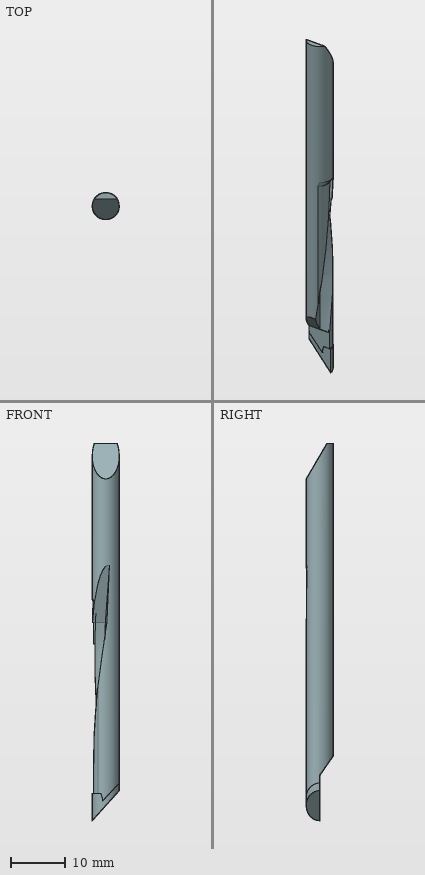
import cadquery as cq
import math

length = 69.5
radius = 2.5
top_flat_edge = 1.3
top_slant_bottom = 63.0
margin = 0.7

rear_end_inner = 8.35
rear_end_outer = 11.95

flute_top = 36.5
flute_bottom = 6.95
flute_front_angle = 276
flute_opening = 84
flute_twist = 101
flute_reach = 2 * radius
flute_apex_offset = 0.15
runout_top = 47.95
runout_shift_x = 0.8

rear_step_bottom = 39.9
rear_step_top = 40.7
rear_relief_shift = (0.5, 0.35)
rear_relief_edge = -0.9
rear_relief_edge_bottom = 32.65
front_relief_shift = (0.2, -0.17)

tip_cut_rise = 5.55
tip_thickness = 1.4
tip_shoulder_x = -0.6
tip_shoulder_bottom = 3.6
tip_shoulder_top = 4.2
tip_corner_x = -0.9
tip_top = 5.0


def prism_xz(points):
    return cq.Workplane("XZ").polyline(points).close().extrude(2 * radius, both=True)


def prism_yz(points):
    return cq.Workplane("YZ").polyline(points).close().extrude(2 * radius, both=True)


def cylinder(bottom, top, shift=(0, 0)):
    return cq.Workplane("XY", origin=(*shift, bottom)).circle(radius).extrude(top - bottom)


def rod_blank():
    """Round rod with the slanted top, sloped rear end and sloped tip."""
    slope = (length - top_slant_bottom) / (top_flat_edge + radius)
    top_cut = prism_yz([
        (top_flat_edge, length),
        (-radius - margin, top_slant_bottom - slope * margin),
        (-radius - margin, length),
    ])
    rear_slope = (rear_end_outer - rear_end_inner) / radius
    rear_cut = prism_yz([
        (0, -margin),
        (0, rear_end_inner),
        (radius + margin, rear_end_outer + rear_slope * margin),
        (radius + margin, -margin),
    ])
    tip_slope = tip_cut_rise / (2 * radius)
    bottom_cut = prism_xz([
        (-radius, 0),
        (radius + margin, tip_cut_rise + tip_slope * margin),
        (radius + margin, -margin),
        (-radius, -margin),
    ])
    return cylinder(0, length).cut(top_cut).cut(rear_cut).cut(bottom_cut)


def flute_triangle(front_angle):
    """Triangle from beside the axis out past the rod, ending its front side at front_angle."""
    bisector = math.radians(front_angle - flute_opening / 2)
    apex = (flute_apex_offset * math.cos(bisector), flute_apex_offset * math.sin(bisector))
    angles = [math.radians(front_angle), math.radians(front_angle - flute_opening)]
    return [apex] + [(flute_reach * math.cos(a), flute_reach * math.sin(a)) for a in angles]


def flute():
    """Twisted V cutter below a straight runout that leaves through the front."""
    twisted = (
        cq.Workplane("XY", origin=(0, 0, flute_bottom))
        .polyline(flute_triangle(flute_front_angle - flute_twist)).close()
        .twistExtrude(flute_top - flute_bottom, flute_twist)
    )
    outline = flute_triangle(flute_front_angle)
    runout = (
        cq.Workplane("XY", origin=(0, 0, flute_top))
        .polyline(outline).close()
        .workplane(offset=runout_top - flute_top)
        .polyline([(x + runout_shift_x, y - radius) for x, y in outline]).close()
        .loft(ruled=True)
    )
    return twisted, runout


def rear_relief():
    """Thin crescent off the rear land, ending above in a sloping step."""
    step = (
        cq.Workplane("XY", origin=(0, 0, rear_step_bottom))
        .moveTo(*rear_relief_shift).circle(radius)
        .workplane(offset=rear_step_top - rear_step_bottom)
        .circle(radius)
        .loft(ruled=True)
    )
    zone = (
        cq.Workplane("YZ", origin=(-radius - margin, 0, 0))
        .polyline([
            (0, 0),
            (0, rear_relief_edge_bottom),
            (rear_relief_edge, rear_step_top),
            (radius, rear_step_top),
            (radius, 0),
        ]).close().extrude(radius + margin)
    )
    core = cylinder(0, rear_step_bottom, rear_relief_shift)
    return zone.cut(core).cut(step)


def front_relief():
    """Thin crescent off the front land, between the tip and the flute runout."""
    zone = (
        cq.Workplane("XY", origin=(0, 0, tip_top))
        .rect(-radius - margin, -radius - margin, centered=False)
        .extrude(flute_top - tip_top)
    )
    return zone.cut(cylinder(0, flute_top, front_relief_shift))


def tip_zone():
    """Sloping slab with a raised shoulder at the cutting corner."""
    return prism_xz([
        (-radius - margin, -margin),
        (radius, -margin),
        (radius, tip_cut_rise + tip_thickness),
        (tip_shoulder_x, tip_shoulder_bottom),
        (tip_shoulder_x, tip_shoulder_top),
        (tip_corner_x, tip_top),
        (-radius - margin, tip_top),
    ])


blank = rod_blank()

shank = blank.cut(rear_relief()).cut(front_relief()).cut(tip_zone())
for flute_section in flute():
    shank = shank.cut(flute_section)

tip = blank.intersect(tip_zone())

result = cq.Compound.makeCompound([shank.val(), tip.val()])